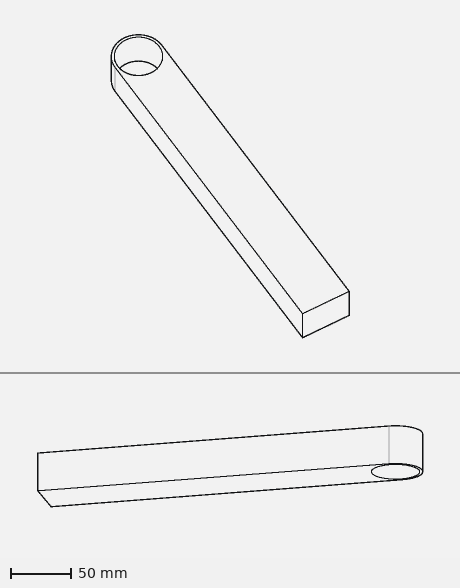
import cadquery as cq

length = 322.5
width = 45.0
height = 33.0
hole_diameter = 40.0

end_radius = width / 2
straight_length = length - end_radius

bar = (
    cq.Workplane("XY")
    .moveTo(0, -end_radius)
    .lineTo(straight_length, -end_radius)
    .lineTo(straight_length, end_radius)
    .lineTo(0, end_radius)
    .threePointArc((-end_radius, 0), (0, -end_radius))
    .close()
    .extrude(height)
)

hole = cq.Workplane("XY").circle(hole_diameter / 2).extrude(height)

result = bar.cut(hole)